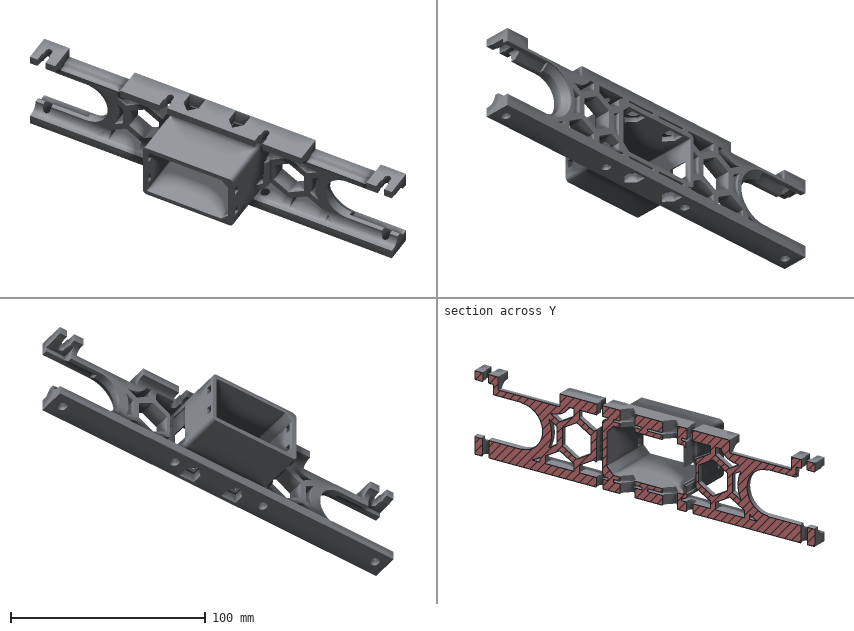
import cadquery as cq
import math

LENGTH = 212.0
HEIGHT = 47.0
RAIL_DEPTH = 15.5
BOX_FRONT = 40.0
HALF = LENGTH / 2

WEB_DEPTH = 9.3
RAIL_LIP = 5.3
PLATE_LIP = 4.5
GROOVE_RADIUS = 4.9

OPENING_RADIUS = 12.7
OPENING_X = 76.5
OPENING_Z = 23.1
OPENING_LAND = 0.8
OPENING_BEVEL = 3.4
LEDGE_DEPTH = 3.2
LEDGE_WIDTH = 0.2
RING_RADIUS = 18.7

PLATE_HALF = 53.0
TAB_LENGTH = 14.8
ARM_TOP = 41.0
ARM_STEP_Z = 39.5
ARM_STEP_Y = 8.5
ARM_BEND_Y = 6.4
ARM_BEND_Z = 39.9
ARM_FLAT_DEPTH = 5.0
TAB_POCKET_LENGTH = 11.7
TAB_POCKET_Y = 3.4
TAB_POCKET_TOP = 42.0
TAB_LIP_CORNER_Z = 39.5
TAB_LIP_SLOPE = 1.3
ARM_ROOT_X = 57.9
ARM_ROOT_RADIUS = 12.5

HEX_PITCH = 21.2
HEX_WALL = 3.5
HEX_FLOOR = 5.7
HEX_CEILING = 40.7

SLOT_X = (28.0, 99.2)
SLOT_WIDTH = 3.5
SLOT_MOUTH_WIDTH = 4.7
SLOT_BACK = 5.5
SLOT_MOUTH_Y = 10.4
RAIL_SLOT_FRONT = 11.0

SHAFT_X = (-15.7, 10.8)
SHAFT_WIDTH = 9.0
SHAFT_BACK = 2.0
SHAFT_BACK_TOP = 0.5
SHAFT_SHOULDER = 7.8

BOX_HALF = 26.5
BOX_BOTTOM = 7.0
BOX_TOP = 39.6
BOX_CORNER = 2.5
CAVITY_LEFT = -24.4
CAVITY_RIGHT = 23.5
CAVITY_BOTTOM = 9.5
CAVITY_TOP = 36.9
CAVITY_CORNER = 0.8
CAVITY_CHAMFER = 4.0

SHOULDER_X = 31.5
SHOULDER_ROUND = 4.9
RECESS_LEFT = -31.5
RECESS_BACK = 3.8
RECESS_WEB_BOTTOM = 10.2
RECESS_SIDE_X = -25.7
RECESS_FLOOR_X = -25.0
RECESS_BOTTOM = 14.2
RECESS_TOP = 36.0
RECESS_WINDOW_BOTTOM = 15.5
RECESS_WINDOW_TOP = 24.5

WINDOW_Y = 36.5
WINDOW_Z = (16.3, 30.5)
WINDOW_DEPTH = 3.2
WINDOW_HEIGHT = 4.7

MARGIN = 2.1


def block(x0, x1, y0, y1, z0, z1):
    """Box between two corners; y0 and y1 are depths in front of the back plane."""
    return cq.Workplane("XY").box(x1 - x0, y1 - y0, z1 - z0, centered=False).translate((x0, -y1, z0))


def along_x(points, x0, x1):
    """Prism along X from (depth, z) corners."""
    outline = [(-depth, z) for depth, z in points]
    return cq.Workplane("YZ").polyline(outline).close().extrude(x1 - x0).translate((x0, 0, 0))


def rod_y(x, z, radius, length):
    """Cylinder running forward from the back plane."""
    return cq.Workplane("XZ").center(x, z).circle(radius).extrude(length)


def both_sides(left):
    """A shape together with its mirror image across x = 0."""
    return left.union(left.mirror("YZ"))


def groove(edge_z, direction):
    """Quarter-round groove in front of the web; direction is +1 above the lower rail, -1 below the plate."""
    depth = WEB_DEPTH + GROOVE_RADIUS
    centre_z = edge_z + direction * GROOVE_RADIUS
    rod = cq.Workplane("YZ").center(-depth, centre_z).circle(GROOVE_RADIUS).extrude(LENGTH)
    rod = rod.translate((-HALF, 0, 0))
    front_bottom, front_top = sorted((edge_z, OPENING_Z))
    inner_bottom, inner_top = sorted((centre_z, OPENING_Z))
    front = block(-HALF, HALF, depth, RAIL_DEPTH + MARGIN, front_bottom, front_top)
    inner = block(-HALF, HALF, WEB_DEPTH, RAIL_DEPTH, inner_bottom, inner_top)
    return rod.union(front).union(inner)


def end_opening():
    """Left U-shaped opening with its bevel and the ledges behind its straight legs."""
    outer = OPENING_RADIUS + OPENING_BEVEL
    x0 = -HALF - MARGIN
    cutter = rod_y(-OPENING_X, OPENING_Z, OPENING_RADIUS, WEB_DEPTH)
    cutter = cutter.union(rod_y(-OPENING_X, OPENING_Z, outer, OPENING_LAND))
    cone = cq.Solid.makeCone(
        outer, OPENING_RADIUS, OPENING_BEVEL,
        cq.Vector(-OPENING_X, -OPENING_LAND, OPENING_Z), cq.Vector(0, -1, 0),
    )
    cutter = cutter.union(cq.Workplane(cone))
    ledge = outer + LEDGE_WIDTH
    half_profile = [
        (0, outer),
        (OPENING_LAND, outer),
        (LEDGE_DEPTH, ledge),
        (LEDGE_DEPTH + ledge - OPENING_RADIUS, OPENING_RADIUS),
        (WEB_DEPTH + MARGIN, OPENING_RADIUS),
    ]
    upper = [(depth, OPENING_Z + rise) for depth, rise in half_profile]
    lower = [(depth, OPENING_Z - rise) for depth, rise in reversed(half_profile)]
    return cutter.union(along_x(upper + lower, x0, -OPENING_X))


def arm_relief():
    """Lowers the left arm between its tab and the top plate, with a step near the front."""
    profile = [
        (-MARGIN, HEIGHT + MARGIN),
        (-MARGIN, ARM_TOP),
        (ARM_FLAT_DEPTH, ARM_TOP),
        (ARM_BEND_Y, ARM_BEND_Z),
        (ARM_STEP_Y, ARM_STEP_Z),
        (RAIL_DEPTH + MARGIN, ARM_STEP_Z),
        (RAIL_DEPTH + MARGIN, HEIGHT + MARGIN),
    ]
    return along_x(profile, -HALF + TAB_LENGTH, -PLATE_HALF)


def tab_pocket():
    """Undercut below the left tab that leaves a bevelled lip along the back."""
    lip_y = TAB_POCKET_Y - TAB_LIP_SLOPE
    lip_z = TAB_LIP_CORNER_Z - TAB_LIP_SLOPE
    profile = [
        (TAB_POCKET_Y, TAB_POCKET_TOP),
        (TAB_POCKET_Y, TAB_LIP_CORNER_Z),
        (lip_y, lip_z),
        (lip_y, OPENING_Z),
        (RAIL_DEPTH, OPENING_Z),
        (RAIL_DEPTH, TAB_POCKET_TOP),
    ]
    return along_x(profile, -HALF - MARGIN, -HALF + TAB_POCKET_LENGTH)


def honeycomb():
    """Three rows of hexagonal openings, kept clear of the end rings and arm roots."""
    row_step = HEX_PITCH * math.sqrt(3) / 2
    corner_radius = (HEX_PITCH - HEX_WALL) / math.sqrt(3)
    corner_angles = [math.radians(60 * i) for i in range(6)]
    outline = [(corner_radius * math.sin(angle), corner_radius * math.cos(angle)) for angle in corner_angles]
    cell = cq.Workplane("XZ").polyline(outline).close().extrude(RAIL_DEPTH + MARGIN).val()
    rows = (
        (OPENING_Z - row_step, (-3.5, -2.5, -1.5, -0.5, 0.5, 1.5, 2.5, 3.5)),
        (OPENING_Z, (-3, -2, -1, 0, 1, 2, 3)),
        (OPENING_Z + row_step, (-2.5, -1.5, -0.5, 0.5, 1.5, 2.5)),
    )
    centres = [(column * HEX_PITCH, z) for z, columns in rows for column in columns]
    cells = cq.Workplane(cq.Compound.makeCompound([cell.translate(cq.Vector(x, 0, z)) for x, z in centres]))
    cells = cells.intersect(block(-HALF, HALF, 0, RAIL_DEPTH + MARGIN, HEX_FLOOR, HEX_CEILING))
    rings = both_sides(rod_y(-OPENING_X, OPENING_Z, RING_RADIUS, RAIL_DEPTH))
    roots = both_sides(rod_y(-ARM_ROOT_X, HEIGHT, ARM_ROOT_RADIUS, RAIL_DEPTH))
    return cells.cut(rings).cut(roots)


def right_shoulder():
    """Rounded shoulder between the front of the web and the right side of the box."""
    shoulder = block(0, SHOULDER_X, WEB_DEPTH, RAIL_DEPTH, BOX_BOTTOM, BOX_TOP)
    return shoulder.edges("|Z and >X and <Y").fillet(SHOULDER_ROUND)


def left_recess():
    """Clearance beside the box: thins the web, hollows the box side and opens a window in it."""
    web_part = block(RECESS_LEFT, RECESS_SIDE_X, RECESS_BACK, RAIL_DEPTH, RECESS_WEB_BOTTOM, BOX_TOP)
    side_part = block(RECESS_SIDE_X, RECESS_FLOOR_X, RECESS_BACK, RAIL_DEPTH, RECESS_BOTTOM, RECESS_TOP)
    opening = block(
        RECESS_FLOOR_X, CAVITY_LEFT, RECESS_BACK, RAIL_DEPTH, RECESS_WINDOW_BOTTOM, RECESS_WINDOW_TOP
    )
    return web_part.union(side_part).union(opening)


def box_shell():
    """Outside of the box."""
    shell = block(-BOX_HALF, BOX_HALF, 0, BOX_FRONT, BOX_BOTTOM, BOX_TOP)
    return shell.edges("|Y").fillet(BOX_CORNER)


def cavity():
    """Opening through the box: small rounds on the left, large chamfers on the right."""
    hollow = block(CAVITY_LEFT, CAVITY_RIGHT, -MARGIN, BOX_FRONT + MARGIN, CAVITY_BOTTOM, CAVITY_TOP)
    hollow = hollow.edges("|Y and <X").fillet(CAVITY_CORNER)
    return hollow.edges("|Y and >X").chamfer(CAVITY_CHAMFER)


def capsule(x, width, front, z0, z1):
    """Vertical slot with round ends."""
    radius = width / 2
    slot = block(x - radius, x + radius, SLOT_BACK + radius, front - radius, z0, z1)
    for depth in (SLOT_BACK + radius, front - radius):
        end = cq.Workplane("XY").center(x, -depth).circle(radius).extrude(z1 - z0)
        slot = slot.union(end.translate((0, 0, z0)))
    return slot


def screw_slot(x):
    """Slot open to the front in the plate, and a closed slot below it in the rail."""
    half_mouth = SLOT_MOUTH_WIDTH / 2
    upper = capsule(x, SLOT_WIDTH, RAIL_DEPTH, OPENING_Z, HEIGHT)
    mouth = block(x - half_mouth, x + half_mouth, SLOT_MOUTH_Y, RAIL_DEPTH, OPENING_Z, HEIGHT)
    lower = capsule(x, SLOT_MOUTH_WIDTH, RAIL_SLOT_FRONT, 0, OPENING_Z)
    return upper.union(mouth).union(lower)


def shaft(x):
    """Vertical pentagonal shaft pointing forward, its back wall leaning out in the plate."""
    half = SHAFT_WIDTH / 2
    outline = [
        (x - half, -SHAFT_BACK),
        (x + half, -SHAFT_BACK),
        (x + half, -SHAFT_SHOULDER),
        (x, -SHAFT_SHOULDER - half),
        (x - half, -SHAFT_SHOULDER),
    ]
    straight = cq.Workplane("XY").polyline(outline).close().extrude(HEIGHT)
    lean = [(SHAFT_BACK, HEX_CEILING), (SHAFT_BACK_TOP, HEIGHT), (SHAFT_BACK, HEIGHT)]
    return straight.union(along_x(lean, x - half, x + half))


def windows():
    """Small rectangular windows through both sides of the box near its front."""
    cutter = cq.Workplane("XY")
    for z in WINDOW_Z:
        cutter = cutter.union(
            cq.Workplane("XY").box(LENGTH, WINDOW_DEPTH, WINDOW_HEIGHT).translate((0, -WINDOW_Y, z))
        )
    return cutter


cells = honeycomb()

frame = block(-HALF, HALF, 0, RAIL_DEPTH, 0, HEIGHT)
frame = frame.cut(groove(RAIL_LIP, 1)).cut(groove(HEIGHT - PLATE_LIP, -1))
frame = frame.union(right_shoulder()).cut(cells)
frame = frame.cut(both_sides(end_opening()))
frame = frame.cut(both_sides(arm_relief()))
frame = frame.cut(both_sides(tab_pocket()))
for slot_x in SLOT_X:
    frame = frame.cut(both_sides(screw_slot(-slot_x)))

result = frame.union(box_shell()).cut(left_recess()).cut(cavity()).cut(windows())
for shaft_x in SHAFT_X:
    result = result.cut(shaft(shaft_x))